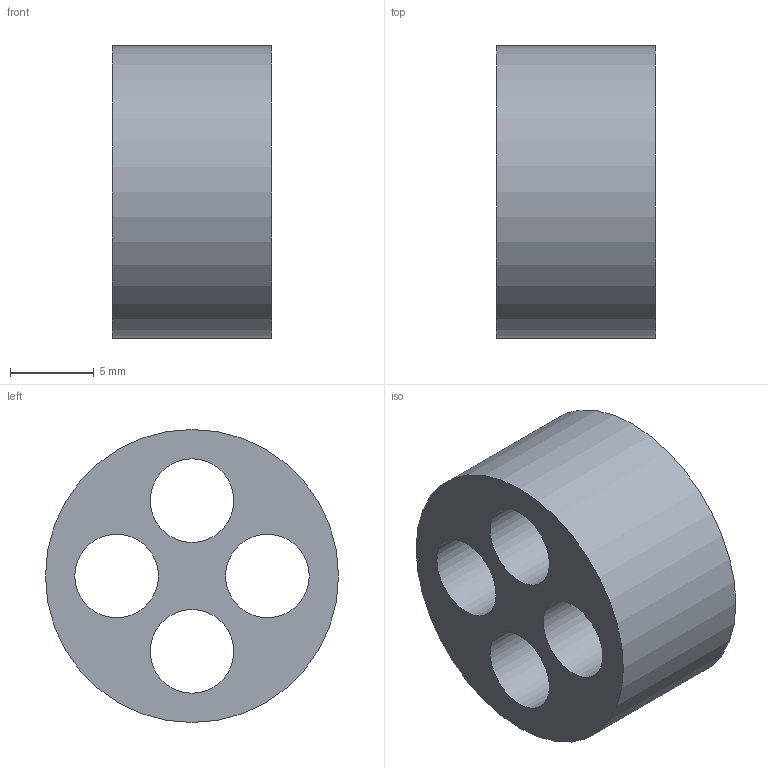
import cadquery as cq

body_length = 9.5
body_diameter = 17.5
hole_diameter = 5.0
hole_count = 4
hole_circle_radius = 4.5
full_turn = 360


def make_body():
    """Plain cylinder along X, starting at the YZ plane."""
    return cq.Workplane("YZ").circle(body_diameter / 2).extrude(body_length)


def make_holes():
    """Full-length hole cylinders evenly spaced around the X axis, the first on the Y axis."""
    return (
        cq.Workplane("YZ")
        .polarArray(hole_circle_radius, 0, full_turn, hole_count)
        .circle(hole_diameter / 2)
        .extrude(body_length)
    )


result = make_body().cut(make_holes())